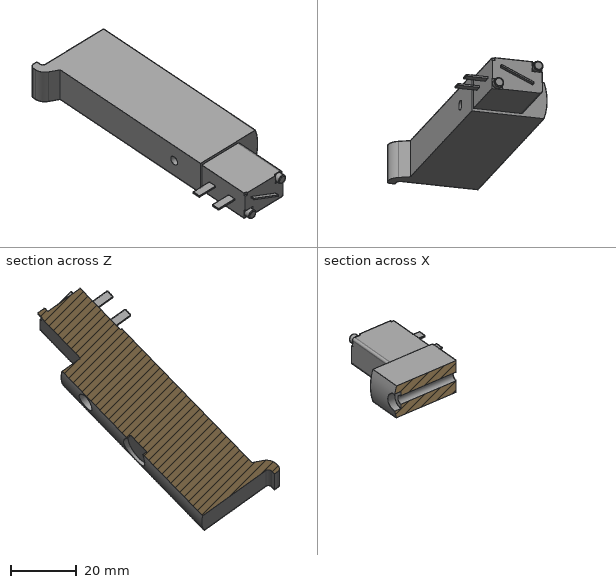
import cadquery as cq
import math

thickness = 11.7
body_left = 2.6
body_right = 69.2
crown_top = 24.0
crown_edge = 23.0

hook_bottom = -5.4
hook_shelf = -2.5
hook_root_x = 7.6
hook_tip_radius = 1.5
hook_outer_radius = 4.0
hook_inner_radius = 1.2
hook_flank_angle = math.radians(62)

screw_hole_x = 57.65
screw_hole_diameter = 3.0
counterbore_diameter = 6.0
counterbore_depth = 2.7
recess_x = 34.7
recess_diameter = 10.0
recess_depth = 1.8

block_right = 88.3
block_bottom = 0.5
block_top = 16.4
block_thickness = 9.9
block_fillet = 0.8

tab_centers_x = (73.9, 82.35)
tab_width = 2.7
tab_thickness = 0.5
tab_end = -6.5
tab_chamfer = 0.225

total_length = 89.8
end_screw_diameter = 3.0
end_screw_seat_x = 87.7
end_screw_chamfer = 0.3
end_screw_inset_y = 1.7
end_screw_z = 3.3
seat_clearance = 0.3
corner_notch = 0.9
bar_right = 89.5
bar_upper_y = 13.3
bar_lower_y = 3.05
bar_half_rise = 2.25
bar_thickness = 0.5


def make_body():
    half = thickness / 2
    profile = (
        cq.Workplane("YZ", origin=(body_left, 0, 0))
        .moveTo(0, -half)
        .lineTo(crown_edge, -half)
        .threePointArc((crown_top, 0), (crown_edge, half))
        .lineTo(0, half)
        .close()
    )
    return profile.extrude(body_right - body_left)


def make_hook():
    center_y = hook_bottom + hook_outer_radius
    tangent_y = center_y - hook_outer_radius * math.cos(hook_flank_angle)
    tangent_x = hook_root_x + tangent_y / math.tan(hook_flank_angle)
    center_x = tangent_x - hook_outer_radius * math.sin(hook_flank_angle)
    return (
        cq.Workplane("XY", origin=(0, 0, -thickness / 2))
        .moveTo(hook_root_x, 0)
        .lineTo(tangent_x, tangent_y)
        .radiusArc((center_x, hook_bottom), hook_outer_radius)
        .lineTo(hook_tip_radius, hook_bottom)
        .radiusArc((0, hook_bottom + hook_tip_radius), hook_tip_radius)
        .lineTo(0, hook_shelf)
        .lineTo(body_left - hook_inner_radius, hook_shelf)
        .radiusArc((body_left, hook_shelf + hook_inner_radius), -hook_inner_radius)
        .lineTo(body_left, 0)
        .close()
        .extrude(thickness)
    )


def hole_from_crown(x, diameter, depth):
    axis = cq.Vector(0, -1, 0)
    return cq.Workplane(cq.Solid.makeCylinder(diameter / 2, depth, cq.Vector(x, crown_top, 0), axis))


def cylinder_along_x(start, end, diameter, y, z):
    return cq.Workplane("YZ", origin=(start, y, z)).circle(diameter / 2).extrude(end - start)


def make_block():
    length = block_right - body_right
    height = block_top - block_bottom
    block = (
        cq.Workplane("XY")
        .box(length, height, block_thickness)
        .edges("|X and >Y")
        .fillet(block_fillet)
    )
    return block.translate((body_right + length / 2, block_bottom + height / 2, 0))


def make_tab(x):
    length = block_bottom - tab_end
    return (
        cq.Workplane("XY")
        .box(tab_width, length, tab_thickness)
        .faces("<Y")
        .chamfer(tab_chamfer)
        .translate((x, tab_end + length / 2, 0))
    )


def make_bar():
    half = bar_thickness / 2
    return (
        cq.Workplane("YZ", origin=(block_right, 0, 0))
        .polyline([
            (bar_lower_y, bar_half_rise - half),
            (bar_lower_y, bar_half_rise + half),
            (bar_upper_y, half - bar_half_rise),
            (bar_upper_y, -half - bar_half_rise),
        ])
        .close()
        .extrude(bar_right - block_right)
    )


body = make_body().union(make_hook())
body = body.cut(hole_from_crown(screw_hole_x, screw_hole_diameter, crown_top))
body = body.cut(hole_from_crown(screw_hole_x, counterbore_diameter, counterbore_depth))
body = body.cut(hole_from_crown(recess_x, recess_diameter, recess_depth))

block = make_block()
lower_screw = (block_bottom + end_screw_inset_y, -end_screw_z)
upper_screw = (block_top - end_screw_inset_y, end_screw_z)
seat_size = end_screw_diameter + 2 * seat_clearance
seat_depth = block_right - end_screw_seat_x
seat_x = end_screw_seat_x + seat_depth / 2
for y, z in (lower_screw, upper_screw):
    shift = math.copysign(seat_clearance, z)
    seat = cq.Workplane("XY").box(seat_depth, seat_size, seat_size)
    seat = seat.translate((seat_x, y + shift, z + shift))
    screw = cylinder_along_x(end_screw_seat_x, total_length, end_screw_diameter, y, z)
    block = block.cut(seat).union(screw.faces(">X").chamfer(end_screw_chamfer))

notch = cq.Workplane("XY").box(seat_depth, corner_notch, corner_notch, centered=False)
notch = notch.translate((end_screw_seat_x, block_bottom, block_thickness / 2 - corner_notch))
block = block.cut(notch)

block = block.union(make_bar())
for x in tab_centers_x:
    block = block.union(make_tab(x))

result = body.union(block)